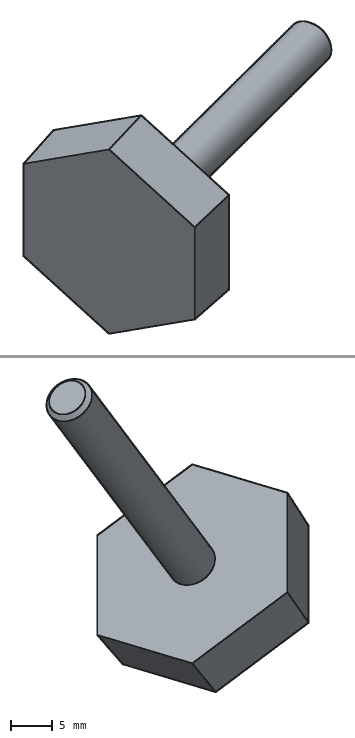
import cadquery as cq
import math

overall_length = 47.5
head_thickness = 7.5
head_across_flats = 25.0
head_draft = 2.3
shank_diameter = 6.0
tip_chamfer = 0.6

shank_length = overall_length - head_thickness


def make_head():
    """Hexagonal head with flats facing +X and -X, tapering toward -Y."""
    across_corners = head_across_flats / math.cos(math.radians(30))
    return (
        cq.Workplane("XZ")
        .transformed(rotate=(0, 0, 90))
        .polygon(6, across_corners)
        .extrude(head_thickness, taper=head_draft)
    )


def make_shank():
    """Round shank along +Y with a chamfered tip."""
    return (
        cq.Workplane("XZ")
        .circle(shank_diameter / 2)
        .extrude(-shank_length)
        .faces(">Y")
        .chamfer(tip_chamfer)
    )


result = make_head().union(make_shank())